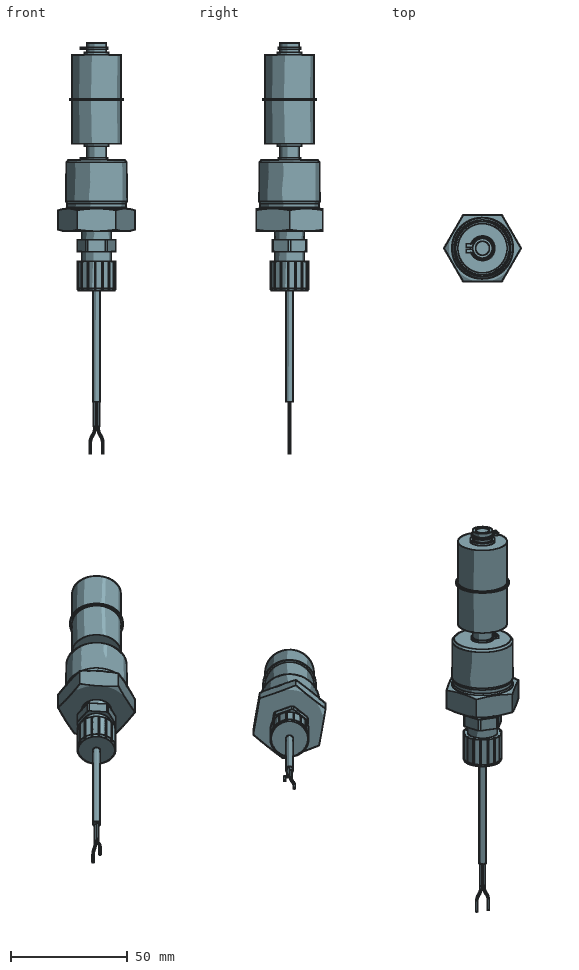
import cadquery as cq
import math


hex_width = 28.6
hex_height = 9.5
hex_face_radius = 14.4
hex_chamfer_drop = 0.62
neck_radius = 12.7
neck_bottom = 10.2
neck_top = 11.8
plug_radius = 13.2
plug_top_radius = 13.0
plug_bottom = 12.8
plug_top = 30.4
plug_chamfer_height = 1.0
plug_face_radius = 12.1
stem_radius = 4.2
stem_top = 80.5
stem_recess_radius = 3.0
stem_recess_depth = 0.4

clip_radius = 4.7
clip_thickness = 0.9
clip_lug_reach = 6.9
clip_lug_width = 3.7
clip_gap = 0.7
clip_bottoms = (plug_top, 77.8)

float_radius = 10.5
float_bottom = 37.3
float_top = 75.4
float_collar_radius = 5.3
float_collar_height = 1.0
float_ring_radius = 11.5
float_ring_height = 0.5

fitting_radius = 6.3
fitting_top_radius = 12.8 / 2
fitting_hex_width = 15.0
fitting_hex_top = -3.7
fitting_hex_bottom = -8.8

nut_radius = 16.7 / 2
nut_top = -13.0
nut_bottom = -25.5
nut_chamfer_width = 0.5
nut_chamfer_height = 1.0
groove_count = 16
groove_width = 0.5
groove_depth = 0.5
groove_start_angle = -4.0

jacket_radius = 1.5
jacket_bottom = -73.1
wire_offset = 0.79
insulation_radius = 0.5
insulation_bottom = -83.6
core_radius = 0.44
bend_top = -84.7
bend_bottom = -90.5
tip_offset = 2.6
tip_bottom = -95.2


def cylinder(radius, bottom, top):
    return cq.Workplane("XY", origin=(0, 0, bottom)).circle(radius).extrude(top - bottom)


def turned(profile):
    """Solid of revolution about Z from (radius, z) points."""
    return cq.Workplane("XZ").polyline(profile).close().revolve(360, (0, 0, 0), (0, 1, 0))


def hexagon(width, bottom, top):
    """Hexagonal prism with two flats facing +Y and -Y."""
    corner_diameter = width / math.cos(math.radians(30))
    return cq.Workplane("XY", origin=(0, 0, bottom)).polygon(6, corner_diameter).extrude(top - bottom)


def make_housing():
    corner_radius = hex_width / 2 / math.cos(math.radians(30))
    chamfer_envelope = turned([
        (0, 0),
        (hex_face_radius, 0),
        (corner_radius, hex_chamfer_drop),
        (corner_radius, hex_height - hex_chamfer_drop),
        (hex_face_radius, hex_height),
        (0, hex_height),
    ])
    flange = hexagon(hex_width, 0, hex_height).intersect(chamfer_envelope)
    plug_and_stem = turned([
        (0, hex_height / 2),
        (plug_radius, hex_height / 2),
        (plug_radius, hex_height),
        (neck_radius, neck_bottom),
        (neck_radius, neck_top),
        (plug_radius, plug_bottom),
        (plug_top_radius, plug_top - plug_chamfer_height),
        (plug_face_radius, plug_top),
        (stem_radius, plug_top),
        (stem_radius, stem_top),
        (0, stem_top),
    ])
    recess = cylinder(stem_recess_radius, stem_top - stem_recess_depth, stem_top)
    return flange.union(plug_and_stem).cut(recess)


def make_clip(bottom):
    """Flat ring around the stem, split toward -X between two lugs."""
    top = bottom + clip_thickness
    lugs = (
        cq.Workplane("XY", origin=(-clip_lug_reach / 2, 0, bottom))
        .rect(clip_lug_reach, clip_lug_width)
        .extrude(clip_thickness)
    )
    gap = (
        cq.Workplane("XY", origin=(-clip_lug_reach / 2, 0, bottom))
        .rect(clip_lug_reach, clip_gap)
        .extrude(clip_thickness)
    )
    ring = cylinder(clip_radius, bottom, top).union(lugs)
    return ring.cut(cylinder(stem_radius, bottom, top)).cut(gap)


def make_float():
    collars_bottom = float_bottom - float_collar_height
    collars_top = float_top + float_collar_height
    ring_bottom = (float_bottom + float_top - float_ring_height) / 2
    return (
        cylinder(float_radius, float_bottom, float_top)
        .union(cylinder(float_collar_radius, collars_bottom, collars_top))
        .union(cylinder(float_ring_radius, ring_bottom, ring_bottom + float_ring_height))
        .cut(cylinder(stem_radius, collars_bottom, collars_top))
    )


def make_fitting():
    core = turned([
        (0, nut_top),
        (fitting_radius, nut_top),
        (fitting_radius, fitting_hex_top),
        (fitting_top_radius, 0),
        (0, 0),
    ])
    collar = hexagon(fitting_hex_width, fitting_hex_bottom, fitting_hex_top).intersect(
        cylinder(nut_radius, fitting_hex_bottom, fitting_hex_top)
    )
    return core.union(collar)


def make_nut():
    nut = turned([
        (jacket_radius, nut_top),
        (nut_radius, nut_top),
        (nut_radius, nut_bottom + nut_chamfer_height),
        (nut_radius - nut_chamfer_width, nut_bottom),
        (jacket_radius, nut_bottom),
    ])
    groove = (
        cq.Workplane("XY", origin=(0, -nut_radius, nut_bottom))
        .rect(groove_width, 2 * groove_depth)
        .extrude(nut_top - nut_bottom)
    )
    for index in range(groove_count):
        angle = groove_start_angle + index * 360 / groove_count
        nut = nut.cut(groove.rotate((0, 0, 0), (0, 0, 1), angle))
    return nut


def make_jacket():
    return cylinder(jacket_radius, jacket_bottom, nut_top)


def make_wire(side):
    """Insulated wire whose bare core bends outward; side is -1 or +1 along X."""
    start_x = side * wire_offset
    tip_x = side * tip_offset
    bend_middle = ((start_x + tip_x) / 2, (bend_top + bend_bottom) / 2)
    path = (
        cq.Workplane("XZ")
        .moveTo(start_x, insulation_bottom)
        .lineTo(start_x, bend_top)
        .tangentArcPoint(bend_middle, relative=False)
        .tangentArcPoint((tip_x, bend_bottom), relative=False)
        .lineTo(tip_x, tip_bottom)
    )
    core = cq.Workplane("XY", origin=(start_x, 0, insulation_bottom)).circle(core_radius).sweep(path)
    insulation = cylinder(insulation_radius, insulation_bottom, jacket_bottom).translate((start_x, 0, 0))
    return insulation.union(core)


housing = make_housing()
level_float = make_float()
clips = [make_clip(bottom) for bottom in clip_bottoms]
fitting = make_fitting()
nut = make_nut()
jacket = make_jacket()
wires = [make_wire(side) for side in (-1, 1)]

result = cq.Compound.makeCompound([
    housing.val(),
    level_float.val(),
    *[clip.val() for clip in clips],
    fitting.val(),
    nut.val(),
    jacket.val(),
    *[wire.val() for wire in wires],
])